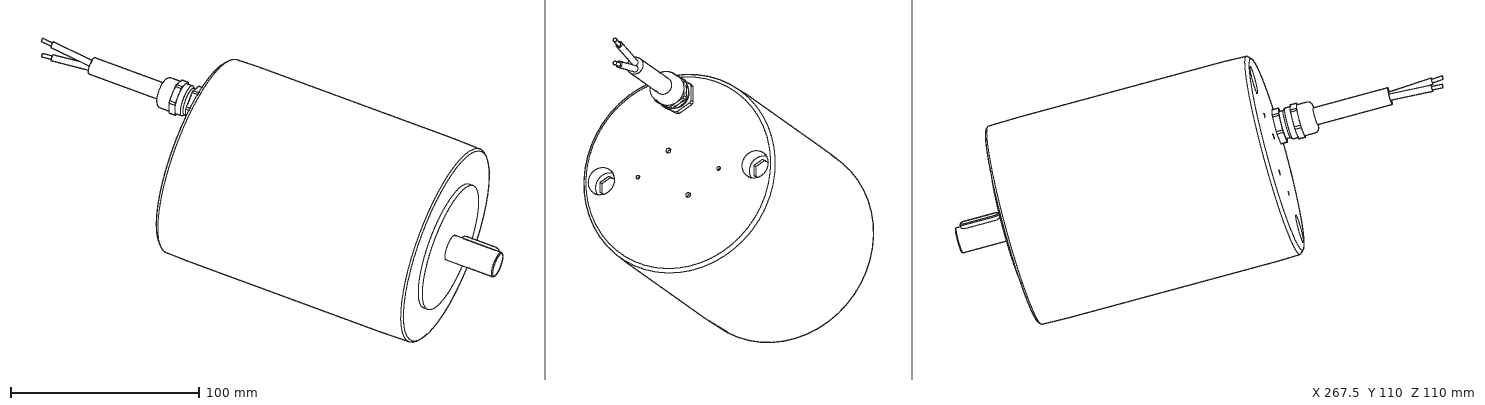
import cadquery as cq
import math

overall_length = 267.5

tube_diameter = 110.0
cap_end_diameter = 109.0
rear_face_x = 91.7
rear_cap_length = 14.7
front_cap_length = 18.0
front_face_x = 237.2
rear_chamfer = 2.0
front_chamfer = 1.0

pilot_diameter = 70.0
pilot_height = 2.5
shaft_diameter = 14.0
shaft_chamfer = 0.5
key_length = 21.7
key_width = 5.0
key_rise = 2.1
key_sunk_depth = 3.0
key_chamfer = 0.5
key_end_gap = 3.2

cover_diameter = 33.2
cover_thickness = 2.7
cover_hole_diameter = 2.6
cover_hole_y = 5.5
cover_hole_z = 12.8
pin_hole_diameter = 2.0
pin_hole_y = 23.0
small_hole_depth = 2.7
screw_hole_diameter = 15.0
screw_hole_depth = 10.7
screw_hole_y = 43.9
socket_corner_diameter = 11.2
socket_depth = 2.7

cable_z = 42.3
gland_start_x = 70.3
gland_diameter = 17.0
gland_fillet = 2.5
gland_chamfer = 1.0
gland_body_end_x = 86.0
neck_diameter = 15.0
hex_flats = 17.0
hex_rounding_diameter = 19.0
hex_length = 3.5
nut_start_x = 78.4

cable_diameter = 9.4
cable_start_x = 29.1
wire_diameter = 3.5
conductor_diameter = 2.05
bare_length = 6.0
wire_tip_offset = 6.5
wire_root_depth = 2.7


def rod(start_x, end_x, diameter, y=0, z=0):
    """Round bar parallel to X."""
    return cq.Workplane("YZ", origin=(start_x, y, z)).circle(diameter / 2).extrude(end_x - start_x)


def hex_bar(start_x, length, corner_diameter, y=0, z=0):
    """Hexagonal bar parallel to X, with one pair of corners pointing along Z."""
    plane = cq.Workplane("YZ", origin=(start_x, y, z))
    bar = plane.polygon(6, corner_diameter).extrude(length)
    return bar.rotate((0, y, z), (1, y, z), 90)


def make_cap(seam_x, length, direction):
    """End cap that tapers slightly from the tube diameter toward its outer face."""
    cone = cq.Solid.makeCone(
        tube_diameter / 2,
        cap_end_diameter / 2,
        length,
        pnt=cq.Vector(seam_x, 0, 0),
        dir=cq.Vector(direction, 0, 0),
    )
    return cq.Workplane(cone)


def make_housing():
    """Rear cap, tube and front cap, joined so that the seams between them remain."""
    rear_seam_x = rear_face_x + rear_cap_length
    front_seam_x = front_face_x - front_cap_length
    rear_cap = make_cap(rear_seam_x, rear_cap_length, -1).faces("<X").chamfer(rear_chamfer)
    tube = rod(rear_seam_x, front_seam_x, tube_diameter)
    front_cap = make_cap(front_seam_x, front_cap_length, 1).faces(">X").chamfer(front_chamfer)
    return rear_cap.union(tube, clean=False).union(front_cap, clean=False)


def make_drive_end():
    """Pilot disc and keyed shaft; the key lies on the +Y side."""
    pilot = rod(front_face_x, front_face_x + pilot_height, pilot_diameter)
    shaft = rod(front_face_x, overall_length, shaft_diameter).faces(">X").chamfer(shaft_chamfer)
    key_center_x = overall_length - key_end_gap - key_length / 2
    key_top_y = shaft_diameter / 2 + key_rise
    key = (
        cq.Workplane("XZ", origin=(key_center_x, key_top_y, 0))
        .slot2D(key_length, key_width)
        .extrude(key_rise + key_sunk_depth)
        .faces(">Y").chamfer(key_chamfer)
    )
    return pilot.union(shaft).union(key)


def cut_rear_face(body):
    """Flush cover disc, small round holes and two screw holes with hexagonal sockets."""
    cover = rod(rear_face_x, rear_face_x + cover_thickness, cover_diameter)
    body = body.cut(cover, clean=False).union(cover, clean=False)
    small_hole_end_x = rear_face_x + small_hole_depth
    screw_floor_x = rear_face_x + screw_hole_depth
    for side in (1, -1):
        cover_hole = rod(
            rear_face_x, small_hole_end_x, cover_hole_diameter, side * cover_hole_y, side * cover_hole_z
        )
        pin_hole = rod(rear_face_x, small_hole_end_x, pin_hole_diameter, side * pin_hole_y)
        screw_hole = rod(rear_face_x, screw_floor_x, screw_hole_diameter, side * screw_hole_y)
        socket = hex_bar(screw_floor_x, socket_depth, socket_corner_diameter, side * screw_hole_y)
        for cutter in (cover_hole, pin_hole, screw_hole, socket):
            body = body.cut(cutter, clean=False)
    return body


def make_gland():
    """Rounded gland body with a hexagon around it, a neck and a hexagonal base; corners rounded."""
    gland = (
        rod(gland_start_x, gland_body_end_x, gland_diameter, z=cable_z)
        .faces("<X").fillet(gland_fillet)
        .faces(">X").chamfer(gland_chamfer)
    )
    neck = rod(gland_body_end_x, rear_face_x, neck_diameter, z=cable_z)
    gland = gland.union(neck)
    hex_corner_diameter = hex_flats / math.cos(math.pi / 6)
    for start_x in (nut_start_x, rear_face_x - hex_length):
        hexagon = hex_bar(start_x, hex_length, hex_corner_diameter, z=cable_z)
        rounding = rod(start_x, start_x + hex_length, hex_rounding_diameter, z=cable_z)
        gland = gland.union(hexagon.intersect(rounding))
    return gland


def make_wire(side):
    """Insulated wire with a bare end; the two wires touch where they leave the cable."""
    root_offset = wire_diameter / 2
    slope = (wire_tip_offset - root_offset) / cable_start_x

    def sloped_rod(start_x, diameter):
        end_x = cable_start_x + wire_root_depth
        start_z = cable_z + side * (wire_tip_offset - slope * start_x)
        end_z = cable_z + side * (wire_tip_offset - slope * end_x)
        path = cq.Workplane("XZ").moveTo(start_x, start_z).lineTo(end_x, end_z)
        return cq.Workplane("YZ", origin=(start_x, 0, start_z)).circle(diameter / 2).sweep(path)

    return sloped_rod(0, conductor_diameter).union(sloped_rod(bare_length, wire_diameter))


def make_cable():
    """Cable sheath with one wire splayed up and one splayed down."""
    cable = rod(cable_start_x, gland_start_x, cable_diameter, z=cable_z)
    return cable.union(make_wire(1)).union(make_wire(-1))


body = cut_rear_face(make_housing())
for attachment in (make_drive_end(), make_gland(), make_cable()):
    body = body.union(attachment, clean=False)
result = body